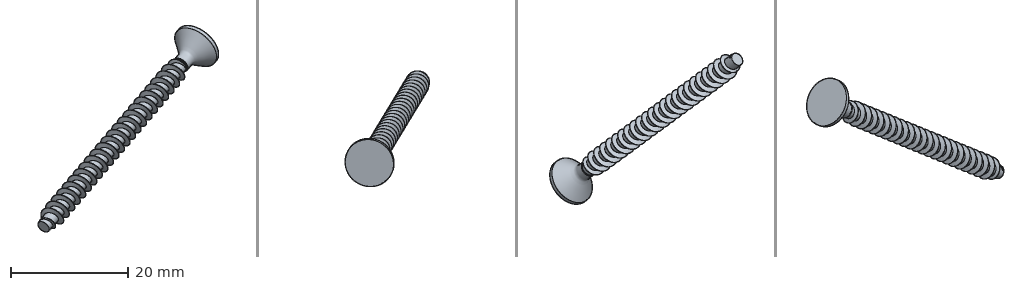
import cadquery as cq
import math

LENGTH = 50.0
HEAD_RADIUS = 4.2
RIM_THICKNESS = 0.7
SHANK_RADIUS = 1.45
SHANK_END = 5.5
NECK_FILLET_START = (2.0, 3.05)
NECK_FILLET_END = 4.15
CORE_RADIUS = 1.25
TIP_RADIUS = 1.15
TIP_TAPER_START = 47.5

FIRST_FULL_CREST = 7.95
LAST_FULL_CREST = 47.3
TURNS_BETWEEN_CRESTS = 22
PITCH = (LAST_FULL_CREST - FIRST_FULL_CREST) / TURNS_BETWEEN_CRESTS
THREAD_RADIUS = 2.1
THREAD_ROOT_RADIUS = 1.05
ROOT_WIDTH = 0.6
CREST_WIDTH = 0.075
FADE_RADIUS = 1.1
FADE_START = 5.5
FADE_KNEE_RADIUS = 1.8
FADE_KNEE_DEPTH = 6.2
FADE_END = 49.7
THREAD_PIECES = 25
POINTS_ON_PIECE = 24


def make_body():
    """Countersunk head, filleted neck, shank and core turned about the screw axis."""
    cone_radius, cone_depth = NECK_FILLET_START
    cone_direction = (cone_radius - HEAD_RADIUS, cone_depth - RIM_THICKNESS)
    return (
        cq.Workplane("XZ")
        .lineTo(HEAD_RADIUS, 0)
        .lineTo(HEAD_RADIUS, RIM_THICKNESS)
        .lineTo(cone_radius, cone_depth)
        .spline([(SHANK_RADIUS, NECK_FILLET_END)], tangents=[cone_direction, (0, 1)], includeCurrent=True)
        .lineTo(SHANK_RADIUS, SHANK_END)
        .lineTo(CORE_RADIUS, SHANK_END)
        .lineTo(CORE_RADIUS, TIP_TAPER_START)
        .lineTo(TIP_RADIUS, LENGTH)
        .lineTo(0, LENGTH)
        .close()
        .revolve(360, (0, 0), (0, 1))
    )


def crest_radius(depth):
    """Thread crest radius: grows out of the core, stays full, then fades into the tip."""
    if depth < FADE_KNEE_DEPTH:
        start, end = (FADE_START, FADE_RADIUS), (FADE_KNEE_DEPTH, FADE_KNEE_RADIUS)
    elif depth < FIRST_FULL_CREST:
        start, end = (FADE_KNEE_DEPTH, FADE_KNEE_RADIUS), (FIRST_FULL_CREST, THREAD_RADIUS)
    elif depth < LAST_FULL_CREST:
        return THREAD_RADIUS
    else:
        start, end = (LAST_FULL_CREST, THREAD_RADIUS), (FADE_END, FADE_RADIUS)
    fraction = (depth - start[0]) / (end[0] - start[0])
    return start[1] + fraction * (end[1] - start[1])


def root_radius(depth):
    """The thread root stays at one radius inside the core."""
    return THREAD_ROOT_RADIUS


def thread_edges(radius_at, axial_offset):
    """Consecutive helical edges, shifted along the axis from the middle of the thread."""
    def point(depth):
        radius = radius_at(depth)
        angle = math.pi / 2 + 2 * math.pi * (depth - FIRST_FULL_CREST) / PITCH
        return cq.Vector(radius * math.cos(angle), radius * math.sin(angle), depth + axial_offset)

    step = (FADE_END - FADE_START) / (THREAD_PIECES * POINTS_ON_PIECE)
    edges = []
    for piece in range(THREAD_PIECES):
        first = piece * POINTS_ON_PIECE
        points = [point(FADE_START + (first + i) * step) for i in range(POINTS_ON_PIECE + 1)]
        edges.append(cq.Edge.makeSpline(points, parameters=list(range(POINTS_ON_PIECE + 1))))
    return edges


def make_thread():
    """Helical ridge of trapezoidal section: ruled sides and two end caps."""
    corners = [
        thread_edges(root_radius, -ROOT_WIDTH / 2),
        thread_edges(crest_radius, -CREST_WIDTH / 2),
        thread_edges(crest_radius, CREST_WIDTH / 2),
        thread_edges(root_radius, ROOT_WIDTH / 2),
    ]
    faces = []
    for i in range(len(corners)):
        for edge, next_edge in zip(corners[i - 1], corners[i]):
            faces.append(cq.Face.makeRuledSurface(edge, next_edge))
    start_corners = [edges[0].startPoint() for edges in corners]
    end_corners = [edges[-1].endPoint() for edges in corners]
    for cap_corners in (start_corners, end_corners):
        faces.append(cq.Face.makeFromWires(cq.Wire.makePolygon(cap_corners, close=True)))
    ridge = cq.Solid.makeSolid(cq.Shell.makeShell(faces))
    return cq.Workplane(ridge.fix())


result = make_body().union(make_thread()).rotate((0, 0, 0), (1, 0, 0), 90)